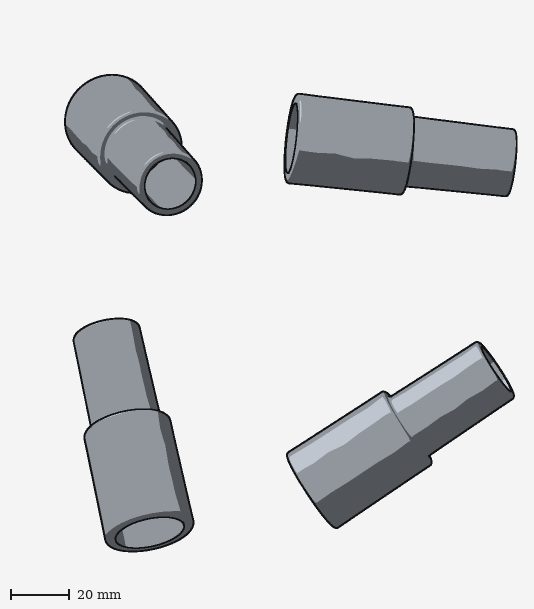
import cadquery as cq

total_length = 75.7
body_length = 39.75
body_start_diameter = 30.7
body_end_diameter = 29.9
neck_start_diameter = 24.0
neck_end_diameter = 23.0
edge_radius = 1.0

socket_diameter = 23.8
socket_depth = 36.3
cone_length = 1.75
cone_end_diameter = 21.8
bore_diameter = 18.0


def frustum(start_x, length, start_diameter, end_diameter):
    """Solid round section along X with a linear taper, or none if both diameters match."""
    end_x = start_x + length
    profile = [
        (start_x, 0),
        (start_x, start_diameter / 2),
        (end_x, end_diameter / 2),
        (end_x, 0),
    ]
    return cq.Workplane("XY").polyline(profile).close().revolve(360, (0, 0, 0), (1, 0, 0))


body = frustum(0, body_length, body_start_diameter, body_end_diameter)
neck = frustum(body_length, total_length - body_length, neck_start_diameter, neck_end_diameter)
adapter = body.union(neck).edges("%CIRCLE").fillet(edge_radius)

cone_start = socket_depth - cone_length
socket = frustum(0, cone_start, socket_diameter, socket_diameter)
socket_cone = frustum(cone_start, cone_length, socket_diameter, cone_end_diameter)
bore = frustum(0, total_length, bore_diameter, bore_diameter)
result = adapter.cut(socket).cut(socket_cone).cut(bore)